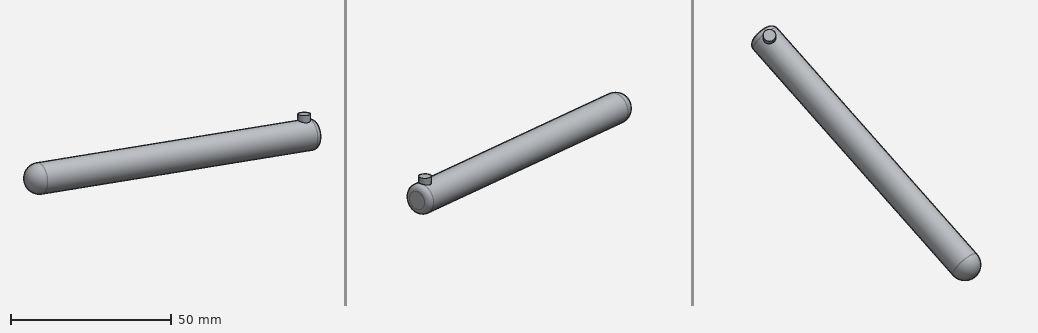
import cadquery as cq

total_length = 105.0
rod_diameter = 10.0
rod_radius = rod_diameter / 2
tail_fillet = 2.0

pin_diameter = 4.0
pin_projection = 2.0
pin_from_tail = 4.0

nose_y = -total_length / 2
tail_y = total_length / 2


def make_rod():
    """Round rod with a hemispherical nose and a rounded tail edge."""
    nose_centre_y = nose_y + rod_radius
    nose = cq.Workplane("XY").sphere(rod_radius).translate((0, nose_centre_y, 0))
    shank = (
        cq.Workplane("XZ", origin=(0, tail_y, 0))
        .circle(rod_radius)
        .extrude(tail_y - nose_centre_y)
        .faces(">Y")
        .edges()
        .fillet(tail_fillet)
    )
    return shank.union(nose)


def make_pin():
    """Upright pin rooted on the rod axis and standing above the rod."""
    return (
        cq.Workplane("XY", origin=(0, tail_y - pin_from_tail, 0))
        .circle(pin_diameter / 2)
        .extrude(rod_radius + pin_projection)
    )


result = make_rod().union(make_pin())